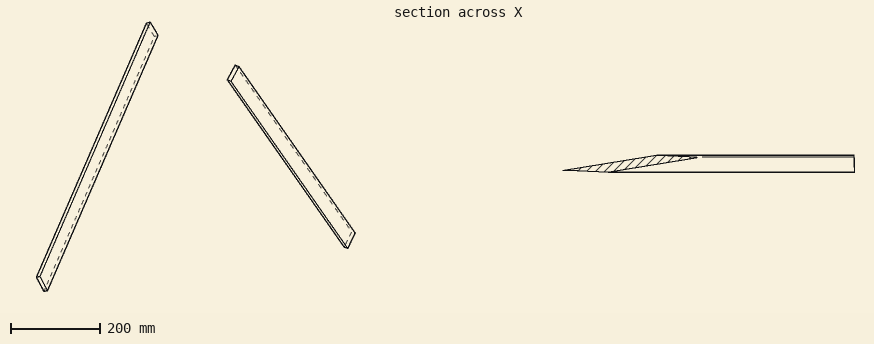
import cadquery as cq
import math

overall_x = 114.0
overall_y = 1002.0
overall_z = 39.0

thickness = 10.0
lean_angle = 62.0

front_cut_angle = -4.0
back_cut_angle = 8.0

lean = math.radians(lean_angle)
width = (overall_z - thickness * math.cos(lean)) / math.sin(lean)
section_x = width * math.cos(lean) + thickness * math.sin(lean)

drift = overall_x - section_x
swing_angle = math.degrees(math.atan(drift / overall_y))

trim_allowance = 100.0
cutter_size = 4 * trim_allowance


def leaning_bar():
    """Overlong bar centred on the origin, leaning and swung into place."""
    return (
        cq.Workplane("XY")
        .box(width, overall_y + 2 * trim_allowance, thickness)
        .rotate((0, 0, 0), (0, 1, 0), lean_angle)
        .rotate((0, 0, 0), (0, 0, 1), swing_angle)
    )


def end_cutter(corner_x, corner_y, angle, side):
    """Block beyond an end plane that passes through the given outermost corner."""
    return (
        cq.Workplane("XY")
        .box(cutter_size, cutter_size, cutter_size)
        .translate((0, side * cutter_size / 2, 0))
        .rotate((0, 0, 0), (0, 0, 1), angle)
        .translate((corner_x, corner_y, 0))
    )


back_corner_x = -overall_x / 2 + section_x
front_corner_x = overall_x / 2
back_cutter = end_cutter(back_corner_x, overall_y / 2, back_cut_angle, 1)
front_cutter = end_cutter(front_corner_x, -overall_y / 2, front_cut_angle, -1)

result = leaning_bar().cut(back_cutter).cut(front_cutter)